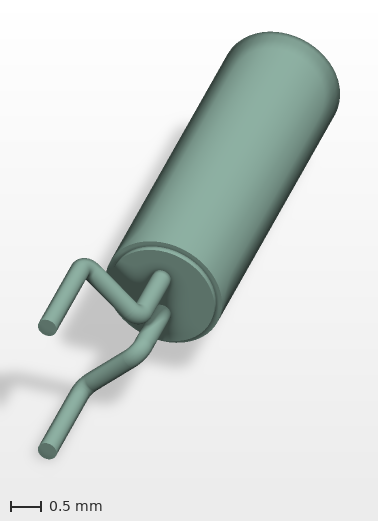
import cadquery as cq
import math

can_radius = 1.0
can_length = 6.25
back_edge_radius = 0.25
disc_height = 0.1
disc_inset = 0.1

wire_radius = 0.16
bend_radius = 0.2
lead_reach = 3.0
offset_run_reach = 1.16
root_z = 0.35
tip_x = -0.94
tip_z = 1.25


def make_can():
    """Solid can with a rounded back edge and a smaller raised disc on the lead face."""
    barrel = (
        cq.Workplane("XZ", origin=(0, disc_height, 0))
        .circle(can_radius)
        .extrude(-(can_length - disc_height))
        .faces(">Y")
        .edges()
        .fillet(back_edge_radius)
    )
    disc = cq.Workplane("XZ").circle(can_radius - disc_inset).extrude(-disc_height)
    return barrel.union(disc)


def make_lead(side):
    """Z-bent wire; side is +1 for the upper lead and -1 for the lower one."""
    forward = cq.Vector(0, -1, 0)
    root = cq.Vector(0, 0, side * root_z)
    tip = cq.Vector(tip_x, -lead_reach, side * tip_z)
    first_corner = root + forward * offset_run_reach
    second_corner = cq.Vector(tip.x, first_corner.y, tip.z)
    sideways = (second_corner - first_corner).normalized()

    first_start = first_corner - forward * bend_radius
    first_end = first_corner + sideways * bend_radius
    second_start = second_corner - sideways * bend_radius
    second_end = second_corner + forward * bend_radius

    corner_to_arc = bend_radius * (1 - math.sqrt(0.5))
    toward_center = (sideways - forward) * corner_to_arc
    path = cq.Wire.assembleEdges([
        cq.Edge.makeLine(root, first_start),
        cq.Edge.makeThreePointArc(first_start, first_corner + toward_center, first_end),
        cq.Edge.makeLine(first_end, second_start),
        cq.Edge.makeThreePointArc(second_start, second_corner - toward_center, second_end),
        cq.Edge.makeLine(second_end, tip),
    ])
    return cq.Workplane("XZ", origin=root.toTuple()).circle(wire_radius).sweep(path)


can = make_can()
leads = [make_lead(side) for side in (1, -1)]

result = cq.Compound.makeCompound([can.val(), *[lead.val() for lead in leads]])